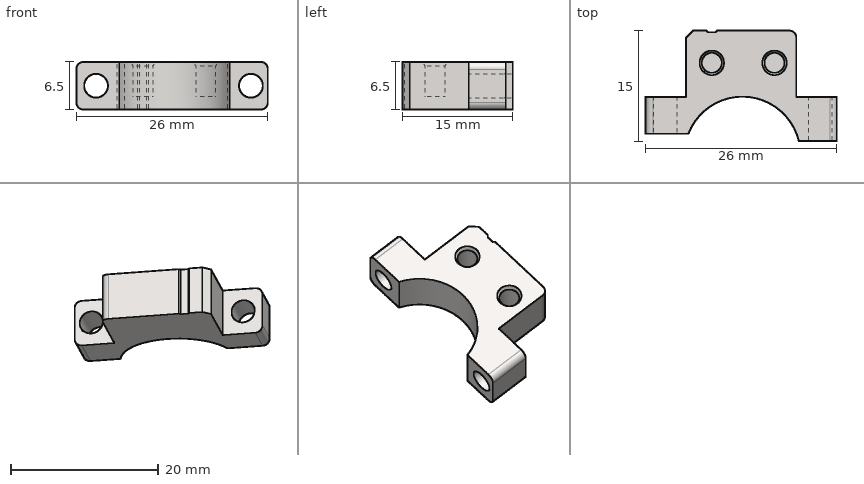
import cadquery as cq

length = 26.0
depth = 15.0
height = 6.5
edge_size = 1.0

ear_back = 6.0
left_ear_front = 1.0

block_width = 15.0
block_left = (length - block_width) / 2
block_right = block_left + block_width

bore_x = 13.18
bore_radius = 7.85
bore_y = ear_back - bore_radius

screw_offset = 10.5
screw_diameter = 3.2

mount_left_x = 9.02
mount_spacing = 8.5
mount_y = 10.6
mount_diameter = 2.7
mount_chamfer_width = 0.3
mount_chamfer_depth = 0.55
mount_depth = 4.68

groove_width = 1.45
groove_depth = 0.23
groove_floor = groove_width - 2 * groove_depth


def make_ears():
    """Full-length bar with rounded ends and a stepped-back left front."""
    bar = cq.Workplane("XY").box(length, ear_back, height, centered=False)
    bar = bar.edges("|Y").fillet(edge_size)
    step = cq.Workplane("XY").box(bore_x, left_ear_front, height, centered=False)
    return bar.cut(step)


def make_block():
    """Mounting block with one chamfered and one rounded back corner."""
    return (
        cq.Workplane("XY")
        .moveTo(block_left, left_ear_front)
        .lineTo(block_right, left_ear_front)
        .lineTo(block_right, depth - edge_size)
        .radiusArc((block_right - edge_size, depth), -edge_size)
        .lineTo(block_left + edge_size, depth)
        .lineTo(block_left, depth - edge_size)
        .close()
        .extrude(height)
    )


def make_bore():
    return cq.Workplane("XY").center(bore_x, bore_y).circle(bore_radius).extrude(height)


def make_screw_hole(x):
    return (
        cq.Workplane("XZ")
        .center(x, height / 2)
        .circle(screw_diameter / 2)
        .extrude(-ear_back)
    )


def make_mount_hole(x):
    """Flat-bottomed hole with a steep conical mouth."""
    radius = mount_diameter / 2
    mouth_radius = radius + mount_chamfer_width
    profile = [
        (0, height - mount_depth),
        (radius, height - mount_depth),
        (radius, height - mount_chamfer_depth),
        (mouth_radius, height),
        (0, height),
    ]
    hole = cq.Workplane("XZ").polyline(profile).close().revolve(360, (0, 0), (0, 1))
    return hole.translate((x, mount_y, 0))


def make_groove():
    """Full-height groove with 45 degree sides."""
    outline = [
        (mount_left_x - groove_width / 2, depth),
        (mount_left_x - groove_floor / 2, depth - groove_depth),
        (mount_left_x + groove_floor / 2, depth - groove_depth),
        (mount_left_x + groove_width / 2, depth),
    ]
    return cq.Workplane("XY").polyline(outline).close().extrude(height)


result = make_ears().union(make_block()).cut(make_bore()).cut(make_groove())
for side in (-1, 1):
    result = result.cut(make_screw_hole(bore_x + side * screw_offset))
for index in range(2):
    result = result.cut(make_mount_hole(mount_left_x + index * mount_spacing))